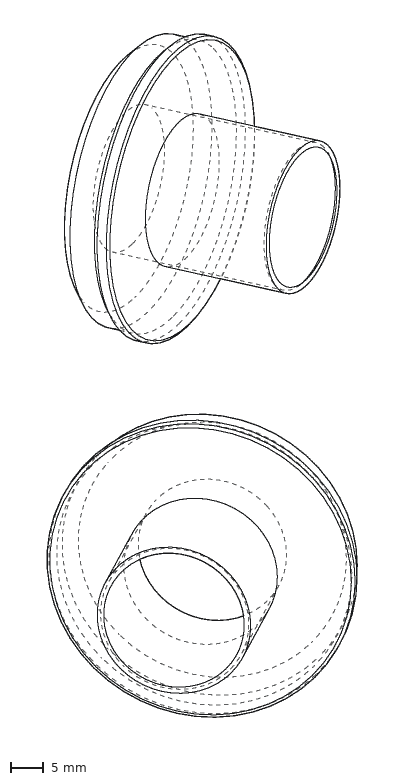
import cadquery as cq

total_length = 30.2
flange_diameter = 48.0

head_diameter = 46.0
front_chamfer = 2.1
flare_start = 6.35
flange_back = 9.25
back_chamfer_length = 0.35
back_face_diameter = 46.95

hub_diameter = 23.9
bore_diameter = 23.1
bore_exit_diameter = 21.9

head_radius = head_diameter / 2
flange_radius = flange_diameter / 2
hub_radius = hub_diameter / 2
bore_radius = bore_diameter / 2
exit_radius = bore_exit_diameter / 2
cone_start = total_length - (bore_radius - exit_radius)
flange_front = flare_start + flange_radius - head_radius

half_section = [
    (0, bore_radius),
    (0, head_radius - front_chamfer),
    (front_chamfer, head_radius),
    (flare_start, head_radius),
    (flange_front, flange_radius),
    (flange_back - back_chamfer_length, flange_radius),
    (flange_back, back_face_diameter / 2),
    (flange_back, hub_radius),
    (total_length, hub_radius),
    (total_length, exit_radius),
    (cone_start, bore_radius),
]

result = cq.Workplane("XY").polyline(half_section).close().revolve(360, (0, 0, 0), (1, 0, 0))